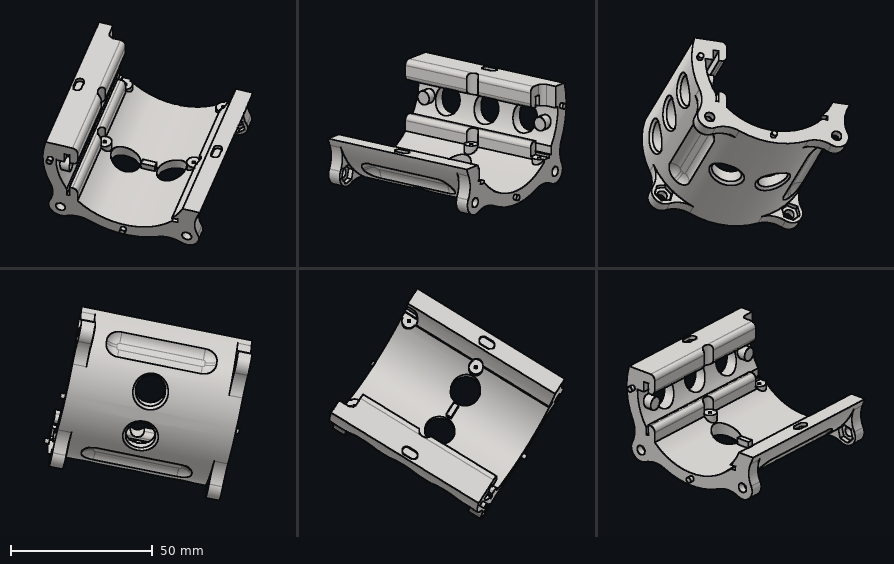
import cadquery as cq
import math

body_length = 61.5
outer_radius = 30.0
bore_radius = 24.995
lip_bore_radius = 24.0
top_left_z = 7.95
top_right_z = -9.95

hook_right_x = -17.0
hook_left_x = -20.0
hook_fillet = 2.0
upper_slot_left_x = -22.0
upper_slot_top_z = 3.95
lower_hook_top_z = -12.4
lower_groove_left_x = -21.0
lower_groove_floor_z = -16.5

ledge_z = -17.5
ledge_end_x = 20.0
lip_z = -16.0

lug_angle = 45
lug_center_radius = 33.0
lug_radius = 4.5
lug_blend_radius = 10.0
lug_length = 5.0
lug_hole_diameter = 3.5
nut_across_flats = 6.0
nut_depth = 2.0

pin_diameter = 2.0
total_length = 64.5
rear_pin_length = 1.3
pin_circle_radius = 27.1

hole_diameter = 10.5
hole_chamfer = 1.0
side_hole_z = -6.2
side_hole_pitch = 17.1
side_hole_y = -0.25
bottom_hole_x = 8.5
bottom_hole_y = -1.75

relief_length = 41.7
relief_corner_radius = 5.8
relief_y = -0.45
relief_floor_radius = 28.0
relief_floor_width = 2.6
relief_fillet = 5.0

boss_diameter = 5.0
boss_hole_diameter = 1.0
boss_hole_depth = 3.0
rear_boss_x = 18.05
rear_boss_setback = 3.0
middle_boss_x = 16.5
middle_boss_y = -1.1
left_notch_end_x = -23.6
left_notch_corner_radius = 2.0
right_notch_corner_radius = 2.95
rear_notch_depth = 2 * rear_boss_setback

stud_end_x = -21.0
stud_y = 25.7
stud_length = 5.0
block_size_x = 5.15
block_size_y = 2.05
block_y = -1.7
block_top_z = -22.5
block_height = 4.6
rail_slot_width = 3.0
rail_slot_length = 5.95
rail_slot_depth = 1.5
left_rail_slot_x = -26.4
right_rail_slot_x = 24.7
rail_slot_y = -0.5

body_rear_y = body_length / 2
rear_boss_y = body_rear_y - rear_boss_setback


def on_circle(radius, angle):
    """Point of the XZ plane at an angle in degrees from +X toward +Z."""
    return (radius * math.cos(math.radians(angle)), radius * math.sin(math.radians(angle)))


def chord(radius, offset):
    """Half chord of a circle at an offset from its center."""
    return math.sqrt(radius**2 - offset**2)


def cylinder_z(x, y, z_bottom, z_top, diameter):
    return cq.Workplane("XY", origin=(x, y, z_bottom)).circle(diameter / 2).extrude(z_top - z_bottom)


def make_wall():
    """Open ring with hooks on the left and an undercut lip on the right."""
    fillet_mid = hook_fillet * (1 - math.sqrt(0.5))
    fillet_x = hook_right_x - hook_fillet
    outline = (
        cq.Workplane("XZ", origin=(0, body_rear_y, 0))
        .moveTo(-chord(outer_radius, top_left_z), top_left_z)
        .lineTo(fillet_x, top_left_z)
        .threePointArc(
            (hook_right_x - fillet_mid, top_left_z - fillet_mid), (hook_right_x, top_left_z - hook_fillet)
        )
        .lineTo(hook_right_x, hook_fillet)
        .threePointArc((hook_right_x - fillet_mid, fillet_mid), (fillet_x, 0))
        .lineTo(hook_left_x, 0)
        .lineTo(hook_left_x, upper_slot_top_z)
        .lineTo(upper_slot_left_x, upper_slot_top_z)
        .lineTo(upper_slot_left_x, 0)
        .lineTo(-bore_radius, 0)
        .threePointArc(
            on_circle(bore_radius, 195), (lower_groove_left_x, -chord(bore_radius, lower_groove_left_x))
        )
        .lineTo(lower_groove_left_x, lower_groove_floor_z)
        .lineTo(hook_left_x, lower_groove_floor_z)
        .lineTo(hook_left_x, lower_hook_top_z)
        .lineTo(fillet_x, lower_hook_top_z)
        .threePointArc(
            (hook_right_x - fillet_mid, lower_hook_top_z - fillet_mid),
            (hook_right_x, lower_hook_top_z - hook_fillet),
        )
        .lineTo(hook_right_x, -chord(bore_radius, hook_right_x))
        .threePointArc((0, -bore_radius), (chord(bore_radius, ledge_z), ledge_z))
        .lineTo(ledge_end_x, ledge_z)
        .lineTo(ledge_end_x, lip_z)
        .lineTo(chord(lip_bore_radius, lip_z), lip_z)
        .threePointArc(on_circle(lip_bore_radius, -30), (chord(lip_bore_radius, top_right_z), top_right_z))
        .lineTo(chord(outer_radius, top_right_z), top_right_z)
        .threePointArc((0, -outer_radius), (-chord(outer_radius, top_left_z), top_left_z))
        .close()
    )
    return outline.extrude(body_length)


def cut_chamfered_hole(wall, center, direction):
    """Hole through the wall at a mid-wall point, chamfered at the rim on the outward side."""
    thickness = outer_radius - bore_radius
    hole_start = cq.Workplane(cq.Plane(origin=center, normal=direction)).workplane(offset=-2 * thickness)
    hole = hole_start.circle(hole_diameter / 2).extrude(4 * thickness)
    box_center = cq.Vector(center) + cq.Vector(direction) * (thickness / 2)
    half_box = cq.Vector(1, 1, 1) * (thickness / 2)
    outer_rim = cq.selectors.BoxSelector(
        (box_center - half_box).toTuple(), (box_center + half_box).toTuple()
    )
    return wall.cut(hole).edges(outer_rim).chamfer(hole_chamfer)


def relief_cutter(side):
    """Round-cornered pocket cut radially, its floor blended into the walls."""
    x, z = on_circle(relief_floor_radius, -lug_angle)
    direction = (side * x, 0, z)
    plane = cq.Plane(origin=(side * x, relief_y, z), xDir=(0, 1, 0), normal=direction)
    width = relief_floor_width + 2 * relief_fillet
    return (
        cq.Workplane(plane)
        .rect(relief_length, width)
        .extrude(relief_fillet + 0.65)
        .edges(cq.selectors.ParallelDirSelector(cq.Vector(*direction)))
        .fillet(relief_corner_radius)
        .faces(cq.selectors.DirectionMinMaxSelector(cq.Vector(*direction), False))
        .edges()
        .fillet(relief_fillet)
    )


def place_at_corner(shape, side, end):
    """Mirror a shape made for the right rear lug to the wanted side and end."""
    if side < 0:
        shape = shape.mirror("YZ")
    if end < 0:
        shape = shape.mirror("XZ")
    return shape


def make_lug(side, end):
    """Screw lug blended into the outside of the ring."""
    ring_gap = outer_radius + lug_blend_radius
    lug_gap = lug_radius + lug_blend_radius
    cosine = (ring_gap**2 + lug_center_radius**2 - lug_gap**2) / (2 * ring_gap * lug_center_radius)
    spread = math.degrees(math.acos(cosine))
    center = on_circle(lug_center_radius, -lug_angle)

    def blend_points(sign):
        blend_center = on_circle(ring_gap, -lug_angle + sign * spread)
        ring_point = on_circle(outer_radius, -lug_angle + sign * spread)
        lug_point = tuple(c + (b - c) * lug_radius / lug_gap for b, c in zip(blend_center, center))
        chord_mid = tuple((a + b) / 2 for a, b in zip(ring_point, lug_point))
        away = math.dist(chord_mid, blend_center)
        mid = tuple(b + (m - b) * lug_blend_radius / away for b, m in zip(blend_center, chord_mid))
        return ring_point, mid, lug_point

    upper_ring, upper_mid, upper_lug = blend_points(1)
    lower_ring, lower_mid, lower_lug = blend_points(-1)
    tip = on_circle(lug_center_radius + lug_radius, -lug_angle)
    lug = (
        cq.Workplane("XZ", origin=(0, body_rear_y, 0))
        .moveTo(*upper_ring)
        .threePointArc(upper_mid, upper_lug)
        .threePointArc(tip, lower_lug)
        .threePointArc(lower_mid, lower_ring)
        .close()
        .extrude(lug_length)
    )
    return place_at_corner(lug, side, end)


def lug_cutter(side, end):
    """Screw hole and hexagonal nut pocket of one lug, a nut corner pointing at the bore axis."""
    x, z = on_circle(lug_center_radius, -lug_angle)
    inner_y = body_rear_y - lug_length
    hole = (
        cq.Workplane("XZ", origin=(x, body_rear_y, z))
        .circle(lug_hole_diameter / 2)
        .extrude(lug_length)
    )
    nut = (
        cq.Workplane("XZ", origin=(x, inner_y, z))
        .transformed(rotate=(0, 0, 60 - lug_angle))
        .polygon(6, nut_across_flats, circumscribed=True)
        .extrude(-nut_depth)
    )
    return place_at_corner(hole.union(nut), side, end)


def make_pins():
    """Locating pins standing out of both end faces."""
    return (
        cq.Workplane("XZ", origin=(0, body_rear_y + rear_pin_length, 0))
        .pushPoints([(-pin_circle_radius, 0), (0, -pin_circle_radius)])
        .circle(pin_diameter / 2)
        .extrude(total_length)
    )


def rear_notch(left_x, right_x, z_bottom, corner_radius=0):
    """Cutter open toward the rear face, running up to the top of the left rail."""
    notch = (
        cq.Workplane("XY", origin=((left_x + right_x) / 2, body_rear_y, z_bottom))
        .rect(right_x - left_x, 2 * rear_notch_depth)
        .extrude(top_left_z - z_bottom)
    )
    if corner_radius:
        notch = notch.edges("|Z and <Y").fillet(corner_radius)
    return notch


def make_boss(x, y):
    """Screw boss level with the ledge, kept inside the outer surface of the ring."""
    ring_disc = cq.Workplane("XZ", origin=(0, body_rear_y, 0)).circle(outer_radius).extrude(body_length)
    return cylinder_z(x, y, -bore_radius, ledge_z, boss_diameter).intersect(ring_disc)


wall = make_wall()

middle_radius = (outer_radius + bore_radius) / 2
for step in (-1, 0, 1):
    hole_y = side_hole_y + step * side_hole_pitch
    wall = cut_chamfered_hole(wall, (-chord(middle_radius, side_hole_z), hole_y, side_hole_z), (-1, 0, 0))
for x in (-bottom_hole_x, bottom_hole_x):
    wall = cut_chamfered_hole(wall, (x, bottom_hole_y, -chord(middle_radius, x)), (0, 0, -1))

for x in (-middle_boss_x, middle_boss_x):
    wall = wall.cut(cylinder_z(x, middle_boss_y, ledge_z, top_left_z, boss_diameter))

wall = wall.cut(
    rear_notch(
        rear_boss_x - rear_boss_setback, rear_boss_x + rear_boss_setback, lip_z, right_notch_corner_radius
    )
)
wall = wall.cut(
    rear_notch(left_notch_end_x, hook_right_x + left_notch_corner_radius, 0, left_notch_corner_radius)
)
wall = wall.cut(rear_notch(hook_left_x, hook_right_x, ledge_z))

for side in (-1, 1):
    for boss_x, boss_y in ((side * rear_boss_x, rear_boss_y), (side * middle_boss_x, middle_boss_y)):
        wall = wall.union(make_boss(boss_x, boss_y))
        wall = wall.cut(cylinder_z(boss_x, boss_y, ledge_z - boss_hole_depth, ledge_z, boss_hole_diameter))

for y in (-stud_y, stud_y):
    stud = cq.Workplane("YZ", origin=(stud_end_x, y, side_hole_z)).circle(boss_diameter / 2)
    wall = wall.union(stud.extrude(-stud_length))
block = cq.Workplane("XY", origin=(0, block_y, block_top_z)).rect(block_size_x, block_size_y)
wall = wall.union(block.extrude(-block_height))

for side in (-1, 1):
    wall = wall.cut(relief_cutter(side))
for x, z in ((left_rail_slot_x, top_left_z), (right_rail_slot_x, top_right_z)):
    rail_slot = cq.Workplane("XY", origin=(x, rail_slot_y, z)).slot2D(rail_slot_length, rail_slot_width, 90)
    wall = wall.cut(rail_slot.extrude(-rail_slot_depth))

for side in (-1, 1):
    for end in (-1, 1):
        wall = wall.union(make_lug(side, end)).cut(lug_cutter(side, end))

result = wall.union(make_pins())